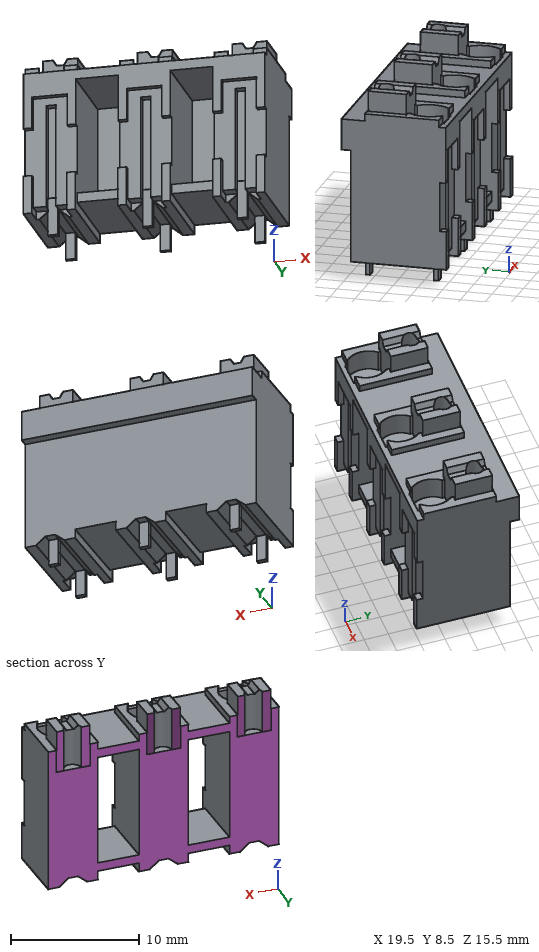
import cadquery as cq

LENGTH = 19.46
PITCH = 7.63
POLES = 3
TOWER_WIDTH = LENGTH - (POLES - 1) * PITCH
POLE_CENTER = TOWER_WIDTH / 2

TAB_FRONT = 0.0
FRONT = 0.05
PILLAR_FRONT = 0.53
BACK = 7.75
LEDGE_BACK = 8.5
BOTTOM = 1.54
LEDGE_BOTTOM = 10.68
TOP = 13.21

TAB_WIDTH = 0.68
LOWER_TAB_TOP = 4.67
UPPER_TAB_BOTTOM = 8.65
PANEL_TOP = 11.23
SLOT_BACK = 1.2
SLOT_TOP = 10.59

UNDERSIDE = 2.18
NOTCH_BACK = 1.5
CHANNEL_BOTTOM_WIDTH = 2.37

BAY_FLOOR_BOTTOM = 2.3
BAY_FLOOR_TOP = 3.07
BAY_TOP = 12.42
BAY_FLOOR_FRONT = 0.53
BAY_BACK_WALL = 0.78

PAD_FRONT = 0.6
PAD_BACK = 6.6
PAD_TOP = 13.8
POCKET_FLOOR = 11.87
OPENING_FRONT = 0.49
OPENING_WIDTH = 2.02
OPENING_BULGE = 0.47
BULGE_FRONT = 0.72
BULGE_BACK = 3.21

BUTTON_WIDTH = 2.8
BUTTON_FRONT = 3.42
BUTTON_BACK = 6.5
BUTTON_TOP = 15.45
GROOVE_DEPTH = 0.47
GROOVE_TOP_WIDTH = 1.17
GROOVE_BOTTOM_WIDTH = 0.58
WIRE_HOLE_OFFSET = 0.05
WIRE_HOLE_Y = 5.55
WIRE_HOLE_DIAMETER = 1.44

PIN_WIDTH = 0.8
PIN_TOP = BAY_FLOOR_TOP
FRONT_PIN = (1.1, 1.5)
REAR_PIN = (6.65, 7.0)


def box(x0, x1, y0, y1, z0, z1):
    """Box given by its two limits along each axis."""
    return cq.Workplane("XY").box(x1 - x0, y1 - y0, z1 - z0, centered=False).translate((x0, y0, z0))


def centered_box(center_x, width, y0, y1, z0, z1):
    """Box given by its middle and width along X and its limits along Y and Z."""
    return box(center_x - width / 2, center_x + width / 2, y0, y1, z0, z1)


def tapered_channel(center_x, width_low, width_high, z_low, z_high):
    """Channel along Y over the whole depth, with a trapezoid section."""
    return (
        cq.Workplane("XZ")
        .polyline(
            [
                (center_x - width_low / 2, z_low),
                (center_x + width_low / 2, z_low),
                (center_x + width_high / 2, z_high),
                (center_x - width_high / 2, z_high),
            ]
        )
        .close()
        .extrude(-LEDGE_BACK)
    )


def make_button(tower_x):
    """Grooved push button with a wire hole, standing on the pocket floor."""
    center = tower_x + POLE_CENTER
    button = centered_box(center, BUTTON_WIDTH, BUTTON_FRONT, BUTTON_BACK, POCKET_FLOOR, BUTTON_TOP)
    groove_floor = BUTTON_TOP - GROOVE_DEPTH
    groove = tapered_channel(center, GROOVE_BOTTOM_WIDTH, GROOVE_TOP_WIDTH, groove_floor, BUTTON_TOP)
    wire_hole = (
        cq.Workplane("XY", origin=(center + WIRE_HOLE_OFFSET, WIRE_HOLE_Y, POCKET_FLOOR))
        .circle(WIRE_HOLE_DIAMETER / 2)
        .extrude(BUTTON_TOP - POCKET_FLOOR)
    )
    return button.cut(groove).cut(wire_hole)


def make_pin(tower_x, faces):
    """Flat solder pin between the given front and back faces."""
    return centered_box(tower_x + POLE_CENTER, PIN_WIDTH, *faces, 0, PIN_TOP)


def housing_block():
    """Full-length block with the ledge along the top of its back."""
    body = box(0, LENGTH, FRONT, BACK, BOTTOM, TOP)
    ledge = box(0, LENGTH, BACK, LEDGE_BACK, LEDGE_BOTTOM, TOP)
    return body.union(ledge)


def bay_cutter(bay_x):
    """Space of one bay: open at the front, with a floor slab and nothing below the slab."""
    bay_end = bay_x + PITCH - TOWER_WIDTH
    inside = box(bay_x, bay_end, FRONT, BACK - BAY_BACK_WALL, BAY_FLOOR_TOP, BAY_TOP)
    before_slab = box(bay_x, bay_end, FRONT, BAY_FLOOR_FRONT, BOTTOM, BAY_FLOOR_TOP)
    below_slab = box(bay_x, bay_end, FRONT, BACK, BOTTOM, BAY_FLOOR_BOTTOM)
    return inside.union(before_slab).union(below_slab)


def tower_front_cutter(tower_x):
    """Front recess between the tabs, with the narrow slot behind it."""
    center = tower_x + POLE_CENTER
    tower_end = tower_x + TOWER_WIDTH
    band = box(tower_x, tower_end, FRONT, PILLAR_FRONT, BOTTOM, UPPER_TAB_BOTTOM)
    panel = box(tower_x + TAB_WIDTH, tower_end - TAB_WIDTH, FRONT, PILLAR_FRONT, BOTTOM, PANEL_TOP)
    slot = centered_box(center, PIN_WIDTH, FRONT, SLOT_BACK, BOTTOM, SLOT_TOP)
    return band.union(panel).union(slot)


def lower_tabs(tower_x):
    """Pair of tabs at the lower outer corners of one tower."""
    left = box(tower_x, tower_x + TAB_WIDTH, TAB_FRONT, PILLAR_FRONT, BOTTOM, LOWER_TAB_TOP)
    return left.union(left.translate((TOWER_WIDTH - TAB_WIDTH, 0, 0)))


def underside_cutter(tower_x):
    """Notch behind the lower tabs and the tapered channel running to the back."""
    center = tower_x + POLE_CENTER
    tower_end = tower_x + TOWER_WIDTH
    notch = box(tower_x + TAB_WIDTH, tower_end - TAB_WIDTH, FRONT, NOTCH_BACK, BOTTOM, UNDERSIDE)
    channel = tapered_channel(center, CHANNEL_BOTTOM_WIDTH, PIN_WIDTH, BOTTOM, UNDERSIDE)
    return notch.union(channel)


def pad(tower_x):
    """Raised pad on top of one tower."""
    return box(tower_x, tower_x + TOWER_WIDTH, PAD_FRONT, PAD_BACK, TOP, PAD_TOP)


def opening_cutter(center):
    """Upright opening in front of the button, with flat ends and sides that bow outward."""
    side = OPENING_WIDTH / 2
    bow = side + OPENING_BULGE
    bulge_middle = (BULGE_FRONT + BULGE_BACK) / 2
    return (
        cq.Workplane("XY", origin=(center, 0, POCKET_FLOOR))
        .moveTo(-side, OPENING_FRONT)
        .lineTo(side, OPENING_FRONT)
        .lineTo(side, BULGE_FRONT)
        .threePointArc((bow, bulge_middle), (side, BULGE_BACK))
        .lineTo(side, BUTTON_FRONT)
        .lineTo(-side, BUTTON_FRONT)
        .lineTo(-side, BULGE_BACK)
        .threePointArc((-bow, bulge_middle), (-side, BULGE_FRONT))
        .close()
        .extrude(PAD_TOP - POCKET_FLOOR)
    )


def pocket_cutter(tower_x):
    """Button seat together with the opening in front of it."""
    center = tower_x + POLE_CENTER
    seat = centered_box(center, BUTTON_WIDTH, BUTTON_FRONT, BUTTON_BACK, POCKET_FLOOR, PAD_TOP)
    return seat.union(opening_cutter(center))


tower_positions = [pole * PITCH for pole in range(POLES)]
buttons = [make_button(x) for x in tower_positions]
front_pins = [make_pin(x, FRONT_PIN) for x in tower_positions]
rear_pins = [make_pin(x, REAR_PIN) for x in tower_positions]

housing = housing_block()
for x in tower_positions[:-1]:
    housing = housing.cut(bay_cutter(x + TOWER_WIDTH))
for x in tower_positions:
    housing = housing.cut(tower_front_cutter(x)).union(lower_tabs(x)).cut(underside_cutter(x))
    housing = housing.union(pad(x)).cut(pocket_cutter(x))
for pin in front_pins + rear_pins:
    housing = housing.cut(pin)

bodies = [housing] + buttons + front_pins + rear_pins
result = cq.Compound.makeCompound([body.solids().val() for body in bodies])